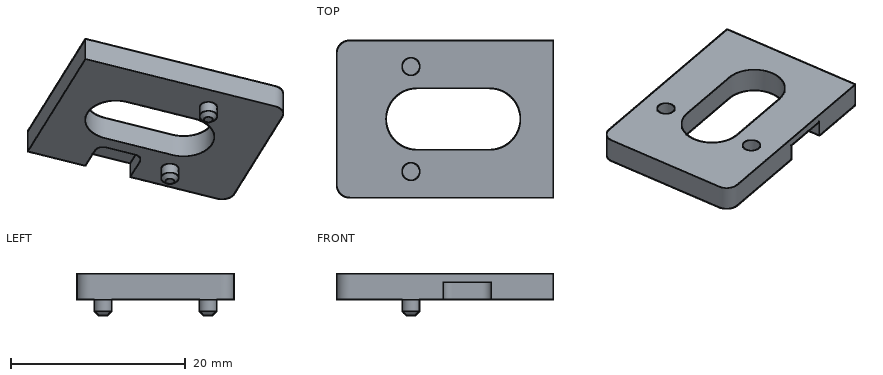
import cadquery as cq

plate_length = 24.8
plate_width = 18.0
plate_thickness = 3.0
corner_radius = 1.5

slot_length = 15.33
slot_width = 7.0
slot_center_x = 13.35

peg_diameter = 2.0
peg_length = 1.8
peg_chamfer = 0.5
peg_x = 8.5
peg_spacing = 12.0
hole_depth = 2.0

notch_width = 5.5
notch_height = 2.0
notch_depth = 4.0
notch_corner_radius = 1.0
notch_center_x = 14.95

front_y = -plate_width / 2
peg_points = [(peg_x, side * peg_spacing / 2) for side in (-1, 1)]


def make_plate():
    """Flat plate with its two left corners rounded."""
    plate = cq.Workplane("XY").box(
        plate_length, plate_width, plate_thickness, centered=(False, True, False)
    )
    return plate.edges("|Z and <X").fillet(corner_radius)


def make_slot():
    """Cutter for the through slot."""
    return (
        cq.Workplane("XY")
        .center(slot_center_x, 0)
        .slot2D(slot_length, slot_width)
        .extrude(plate_thickness)
    )


def make_notch():
    """Cutter for the front notch, rounded at its two inner corners."""
    notch = cq.Workplane("XY").box(
        notch_width, notch_depth, notch_height, centered=(True, False, False)
    )
    notch = notch.edges("|Z and >Y").fillet(notch_corner_radius)
    return notch.translate((notch_center_x, front_y, 0))


def make_pegs():
    """Two pegs with chamfered tips."""
    pegs = cq.Workplane("XY").pushPoints(peg_points).circle(peg_diameter / 2).extrude(-peg_length)
    return pegs.faces("<Z").edges().chamfer(peg_chamfer)


def make_holes():
    """Cutter for the blind holes in the top face."""
    return (
        cq.Workplane("XY", origin=(0, 0, plate_thickness))
        .pushPoints(peg_points)
        .circle(peg_diameter / 2)
        .extrude(-hole_depth)
    )


result = make_plate().cut(make_slot()).cut(make_notch()).union(make_pegs()).cut(make_holes())